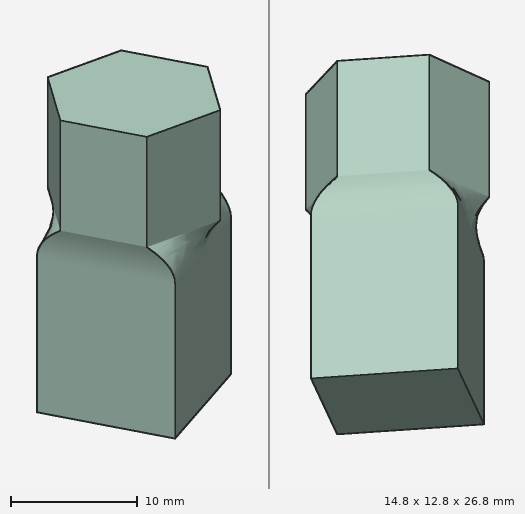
import cadquery as cq
import math

total_height = 26.8
hex_across_corners = 14.75
square_side = 11.8

hex_height = 9.85
square_height = 13.9
neck_height = total_height - hex_height - square_height
neck_intervals = 4

hex_radius = hex_across_corners / 2
hex_corners = [
    (hex_radius * math.cos(math.radians(angle)), hex_radius * math.sin(math.radians(angle)))
    for angle in range(0, 360, 60)
]

half_side = square_side / 2
square_points = [
    (half_side, 0),
    (half_side, half_side),
    (-half_side, half_side),
    (-half_side, 0),
    (-half_side, -half_side),
    (half_side, -half_side),
]


def neck_section(height_fraction):
    """Closed outline of the neck, leaving the square vertically and flaring parabolically."""
    blend = height_fraction**2
    z = square_height + neck_height * height_fraction
    points = [
        cq.Vector(sx + (hx - sx) * blend, sy + (hy - sy) * blend, z)
        for (sx, sy), (hx, hy) in zip(square_points, hex_corners)
    ]
    return cq.Wire.makePolygon(points, close=True)


shank = cq.Workplane("XY").rect(square_side, square_side).extrude(square_height)

sections = [neck_section(i / neck_intervals) for i in range(neck_intervals + 1)]
neck = cq.Workplane(obj=cq.Solid.makeLoft(sections))

head = (
    cq.Workplane("XY", origin=(0, 0, square_height + neck_height))
    .polyline(hex_corners)
    .close()
    .extrude(hex_height)
)

result = shank.union(neck).union(head)